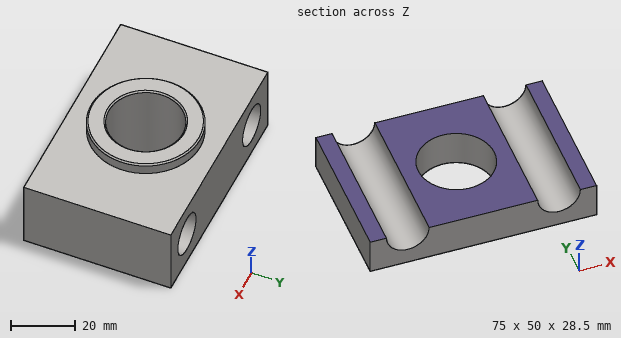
import cadquery as cq

length = 75.0
width = 50.0
total_height = 28.5
collar_height = 4.0
block_height = total_height - collar_height

collar_diameter = 37.0
bore_diameter = 25.0
edge_chamfer = 0.5

cross_hole_diameter = 14.0
cross_hole_spacing = 50.0
cross_hole_height = 12.5


def make_block():
    return cq.Workplane("XY").box(length, width, block_height, centered=(True, True, False))


def make_collar():
    collar = cq.Workplane("XY").workplane(offset=block_height).circle(collar_diameter / 2).extrude(collar_height)
    return collar.faces(">Z").edges().chamfer(edge_chamfer)


def make_bore():
    """Vertical through bore that widens to a chamfer at the collar mouth."""
    bore_radius = bore_diameter / 2
    return (
        cq.Workplane("XZ")
        .lineTo(bore_radius, 0)
        .lineTo(bore_radius, total_height - edge_chamfer)
        .lineTo(bore_radius + edge_chamfer, total_height)
        .lineTo(0, total_height)
        .close()
        .revolve(360, (0, 0), (0, 1))
    )


def make_cross_holes():
    half_spacing = cross_hole_spacing / 2
    return (
        cq.Workplane("XZ")
        .pushPoints([(side * half_spacing, cross_hole_height) for side in (-1, 1)])
        .circle(cross_hole_diameter / 2)
        .extrude(width / 2, both=True)
    )


result = make_block().union(make_collar()).cut(make_bore()).cut(make_cross_holes())